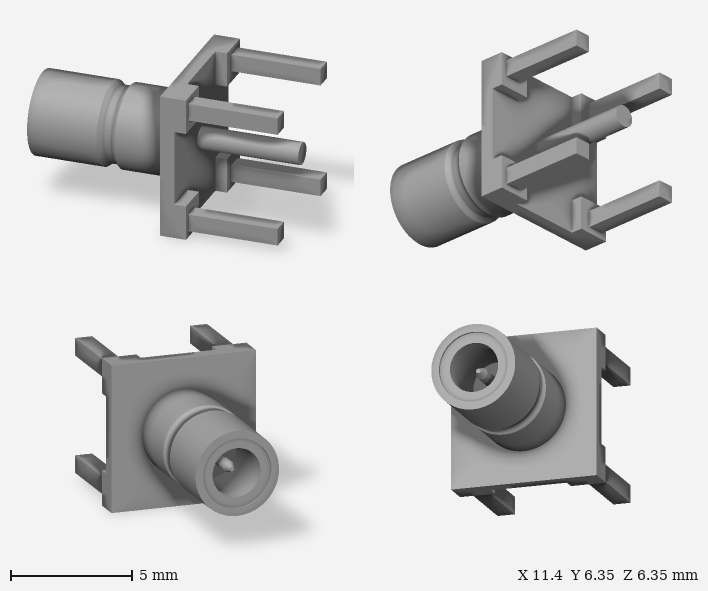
import cadquery as cq

total_length = 11.43
flange_side = 6.35

flange_front = 6.35
flange_back = 6.98
pad_back = 7.5
pad_side = 1.52
leg_side = 0.75
leg_inset = 0.27
solder_pin_diameter = 0.97

barrel_diameter = 3.67
groove_diameter = 3.3
groove_start = 3.05
groove_floor_start = 3.29
groove_floor_end = 3.63
groove_end = 3.85

recess_diameter = 3.0
recess_depth = 0.1
bore_diameter = 2.1
bore_end = groove_start
contact_diameter = 0.5
contact_tip_diameter = 0.2
contact_tip_x = 0.64
contact_taper_length = 0.43


def block(side, start, end, y=0, z=0):
    """Square bar along X, centred on (y, z)."""
    return cq.Workplane("YZ", origin=(start, y, z)).rect(side, side).extrude(end - start)


def cylinder(diameter, start, end):
    """Round bar on the X axis."""
    return cq.Workplane("YZ", origin=(start, 0, 0)).circle(diameter / 2).extrude(end - start)


def make_barrel():
    """Revolved barrel with the groove around it."""
    outer = barrel_diameter / 2
    inner = groove_diameter / 2
    profile = [
        (0, 0),
        (0, outer),
        (groove_start, outer),
        (groove_floor_start, inner),
        (groove_floor_end, inner),
        (groove_end, outer),
        (flange_front, outer),
        (flange_front, 0),
    ]
    return cq.Workplane("XY").polyline(profile).close().revolve(360, (0, 0, 0), (1, 0, 0))


def make_contact():
    """Pointed contact standing on the bore floor."""
    profile = [
        (contact_tip_x, 0),
        (contact_tip_x, contact_tip_diameter / 2),
        (contact_tip_x + contact_taper_length, contact_diameter / 2),
        (bore_end, contact_diameter / 2),
        (bore_end, 0),
    ]
    return cq.Workplane("XY").polyline(profile).close().revolve(360, (0, 0, 0), (1, 0, 0))


socket = cylinder(recess_diameter, 0, recess_depth).union(cylinder(bore_diameter, 0, bore_end))
result = make_barrel().cut(socket).union(make_contact())
result = result.union(block(flange_side, flange_front, flange_back))
result = result.union(cylinder(solder_pin_diameter, flange_back, total_length))

pad_offset = (flange_side - pad_side) / 2
leg_offset = (flange_side - leg_side) / 2 - leg_inset
for y_sign in (-1, 1):
    for z_sign in (-1, 1):
        pad = block(pad_side, flange_back, pad_back, y_sign * pad_offset, z_sign * pad_offset)
        leg = block(leg_side, pad_back, total_length, y_sign * leg_offset, z_sign * leg_offset)
        result = result.union(pad).union(leg)